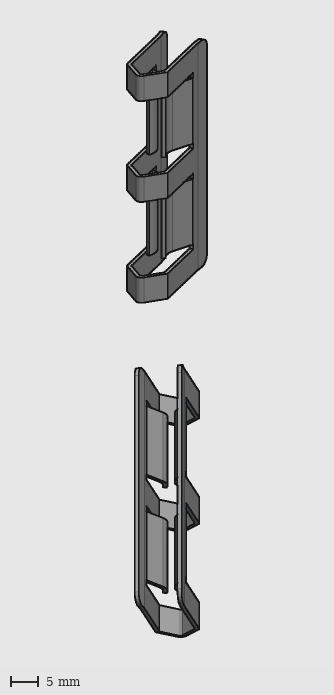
import cadquery as cq
import math

height = 45.0
depth = 20.0
lip_width = 8.6
wall_width = 8.0
thickness = 0.75

nose_radius = 1.1
nose_half_angle = math.radians(45)
lip_length = 3.5
corner_radius = 2.0
strap_height = 5.0
window_back = 14.65

finger_gap = 1.0
finger_angle = math.radians(28)
finger_end_angle = math.radians(30)
finger_radius = 3.05
finger_contact_y = 8.95
contact_gap = 1.45

wall_x = wall_width / 2
inner_x = wall_x - thickness
lip_x = lip_width / 2
lip_start = depth - lip_length
lip_flare = math.atan((lip_x - wall_x) / lip_length)
lip_inner_x = lip_x - thickness / math.cos(lip_flare)
lip_inner_start = lip_start + thickness * math.tan(lip_flare / 2)
window_height = (height - 3 * strap_height) / 2
window_pitch = strap_height + window_height
finger_height = window_height - 2 * finger_gap


def make_shell():
    """Folded strip: V nose, parallel walls and flared lips."""
    nose_slope = math.tan(nose_half_angle)
    sharp_tip_y = nose_radius * (1 - 1 / math.sin(nose_half_angle))
    inner_tip_y = sharp_tip_y + thickness / math.sin(nose_half_angle)
    outside = [
        (0, sharp_tip_y),
        (wall_x, sharp_tip_y + wall_x / nose_slope),
        (wall_x, lip_start),
        (lip_x, depth),
    ]
    inside = [
        (lip_inner_x, depth),
        (inner_x, lip_inner_start),
        (inner_x, inner_tip_y + inner_x / nose_slope),
        (0, inner_tip_y),
    ]
    half = outside + inside
    mirrored = [(-x, y) for x, y in reversed(half[1:-1])]
    shell = cq.Workplane("XY").polyline(half + mirrored).close().extrude(height)
    outer_edge = cq.selectors.NearestToPointSelector((0, sharp_tip_y, height / 2))
    shell = shell.edges(outer_edge).fillet(nose_radius)
    inner_edge = cq.selectors.NearestToPointSelector((0, inner_tip_y, height / 2))
    shell = shell.edges(inner_edge).fillet(nose_radius - thickness)
    return shell.intersect(make_side_outline())


def make_side_outline():
    """Block that rounds the rear corners of both lips."""
    block = cq.Workplane("XY").box(lip_width, depth, height, centered=(True, False, False))
    return block.edges(">Y and |X").fillet(corner_radius)


def make_window(bottom):
    """Cutter that opens the nose and both walls between two straps."""
    window = cq.Workplane("XY", origin=(0, 0, bottom))
    return window.box(lip_width, window_back, window_height, centered=(True, False, False))


def make_finger(bottom):
    """Right-hand finger: straight from the wall, then curving back outward."""
    contact_x = contact_gap / 2
    convex_radius = finger_radius + thickness
    center_x = contact_x + convex_radius

    def arc_point(radius, angle):
        return (center_x - radius * math.cos(angle), finger_contact_y + radius * math.sin(angle))

    def root_point(radius, root_x):
        x, y = arc_point(radius, finger_angle)
        return (root_x, y + (root_x - x) / math.tan(finger_angle))

    return (
        cq.Workplane("XY", origin=(0, 0, bottom))
        .moveTo(*root_point(finger_radius, wall_x))
        .lineTo(*arc_point(finger_radius, finger_angle))
        .threePointArc(arc_point(finger_radius, 0), arc_point(finger_radius, -finger_end_angle))
        .lineTo(*arc_point(convex_radius, -finger_end_angle))
        .threePointArc(arc_point(convex_radius, 0), arc_point(convex_radius, finger_angle))
        .lineTo(*root_point(convex_radius, inner_x))
        .lineTo(inner_x, lip_start)
        .lineTo(wall_x, lip_start)
        .close()
        .extrude(finger_height)
    )


result = make_shell()
for index in range(2):
    window_bottom = strap_height + index * window_pitch
    finger = make_finger(window_bottom + finger_gap)
    result = result.cut(make_window(window_bottom))
    result = result.union(finger).union(finger.mirror("YZ"))